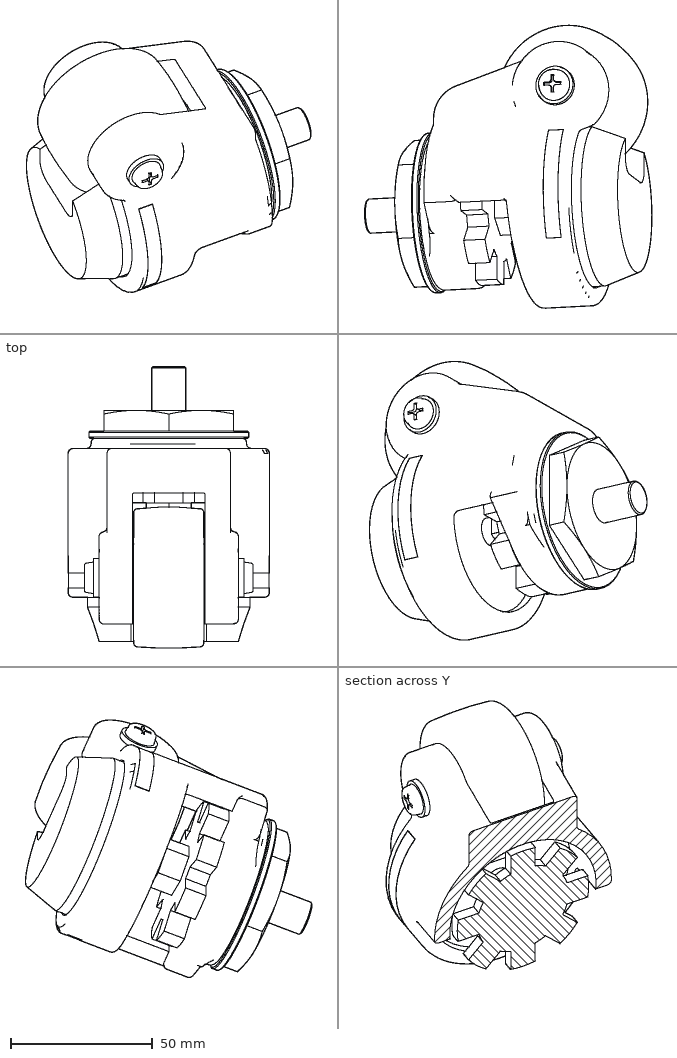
import cadquery as cq
import math

total_height = 98.9
total_length = 99.4

drum_radius = 71.1 / 2
drum_front = -6.9
drum_rear = 45.6
drum_edge_round = 1.8
bore_radius = 29.2

window_top = -2.6
window_rear = 34.2
window_front_top = 15.7
window_front_bottom = 13.6
window_corner_round = 2.4
window_edge_round = 1.8

web_radius = 27.4
web_edge_round = 1.8
neck_rear = 49.2
neck_edge_round = 1.5
neck_flare = 1.6

panel_front = -3.6
panel_rear = 1.8
panel_bottom = -17.4
panel_top = 22.0
panel_depth = 0.1

fork_half_width = 21.8
fork_slope = 18.0
fork_slope_start = (37.4, 41.2)
fork_corner_round = 11.9
fork_edge_round = 1.8
root_round = 1.5
crest_angle = 47.5
boss_radius = 16.3
boss_half_width = 24.6
boss_edge_round = 1.8
slot_width = 25.5
slot_rear = 29.9
slot_corner_round = 0.6

wheel_radius = 25.0
wheel_rim_radius = 24.3
wheel_width = 24.8
wheel_edge_round = 1.4
axle_height = total_height - drum_radius - wheel_radius
axle_radius = 5.0

screw_washer_radius = 6.8
screw_washer_face = 26.5
screw_head_face = 29.7
screw_head_radius = 5.6
screw_head_taper = 9.0
screw_head_round = 0.8
cross_length = 6.2
cross_width = 1.0
cross_corner_round = 0.9
cross_depth = 1.5

washer_radius = 28.2
washer_thickness = 2.5
washer_chamfer = 0.4
nut_across_flats = 45.7
nut_thickness = 7.4
nut_chamfer_angle = 20.0
stud_radius = 6.1
stud_chamfer = 0.5
stud_tip = total_length - wheel_radius

pad_radius = 28.7
pad_front = -22.5
pad_cone_start = -10.2
pad_front_radius = 24.6
pad_rear = 11.9
notch_width = 26.7
notch_floor = 8.8
notch_corner_round = 5.5
stem_radius = 5.0
lock_nut_across_flats = 16.0
lock_nut_front = 18.0
gear_front = 26.4
gear_radius = 26.4
gear_root_radius = 18.4
gear_teeth = 8
tooth_width = 9.9


def disc(radius, front, rear):
    """Round bar along Y between two Y positions."""
    return cq.Workplane("XZ", origin=(0, front, 0)).circle(radius).extrude(front - rear)


def hexagon(across_flats, front, rear):
    """Hexagonal bar along Y with corners at the top and bottom."""
    corner_diameter = across_flats / math.cos(math.pi / 6)
    plane = cq.Workplane("XZ", origin=(0, front, 0)).transformed(rotate=(0, 0, 90))
    return plane.polygon(6, corner_diameter).extrude(front - rear)


def across(half_width):
    """Plane facing +X at the left end of something centred on X = 0; its axes are Y and Z."""
    return cq.Workplane("YZ", origin=(-half_width, 0, 0))


def edges_near(body, points):
    """The edges of a body that pass closest to the given points."""
    edges = body.edges().vals()
    vertices = [cq.Vertex.makeVertex(*point) for point in points]
    return body.newObject([min(edges, key=vertex.distance) for vertex in vertices])


def both_sides(points):
    """Points on the +X side together with their mirror images."""
    return points + [(-x, y, z) for x, y, z in points]


def make_fork_slab():
    start_y, start_z = fork_slope_start
    slope = math.tan(math.radians(fork_slope))
    slab = (
        across(fork_half_width)
        .moveTo(0, 0)
        .lineTo(drum_rear, 0)
        .lineTo(drum_rear, start_z - slope * (drum_rear - start_y))
        .lineTo(0, start_z + slope * start_y)
        .close()
        .extrude(2 * fork_half_width)
    )
    return edges_near(slab, [(0, drum_rear, start_z)]).fillet(fork_corner_round)


def make_boss():
    boss = across(boss_half_width).center(0, axle_height).circle(boss_radius).extrude(2 * boss_half_width)
    return boss.edges().fillet(boss_edge_round)


def make_drum_with_fork():
    slab = make_fork_slab()
    drum = disc(drum_radius, drum_front, drum_rear)
    drum = drum.faces("<Y").edges().fillet(drum_edge_round)

    root_z = math.sqrt(drum_radius**2 - fork_half_width**2)
    corner_zone = (
        cq.Workplane("XY")
        .box(2 * fork_half_width, fork_corner_round, drum_radius, centered=(True, False, False))
        .translate((0, drum_rear - fork_corner_round, root_z))
    )
    body = drum.cut(corner_zone.cut(slab)).union(slab).union(make_boss())

    start_y, start_z = fork_slope_start
    slope = math.tan(math.radians(fork_slope))
    arc_start_z = start_z - fork_corner_round * math.cos(math.radians(fork_slope))
    slope_middle = start_y / 2 + boss_radius / 2
    outer_edges = both_sides(
        [
            (fork_half_width, slope_middle, start_z + slope * (start_y - slope_middle)),
            (fork_half_width, drum_rear, (root_z + arc_start_z) / 2),
        ]
    )
    outer_edges.append((0, drum_rear, -drum_radius))
    body = edges_near(body, outer_edges).fillet(fork_edge_round)

    crest_y = boss_radius * math.sin(math.radians(crest_angle))
    crest_z = axle_height + boss_radius * math.cos(math.radians(crest_angle))
    boss_root_z = math.sqrt(drum_radius**2 - boss_half_width**2)
    roots = both_sides(
        [
            (fork_half_width, boss_radius, axle_height),
            (fork_half_width, start_y, root_z),
            (boss_half_width, 0, boss_root_z),
        ]
    )
    roots.append((0, crest_y, crest_z))
    return edges_near(body, roots).fillet(root_round)


def cut_window(body):
    """Cut away the lower half of the drum behind its sloping front wall."""
    below = -drum_radius - 1
    slope = (window_front_top - window_front_bottom) / (window_top + drum_radius)
    window = (
        across(drum_radius + 1)
        .moveTo(window_front_top, window_top)
        .lineTo(drum_rear + 1, window_top)
        .lineTo(drum_rear + 1, below)
        .lineTo(window_front_top + slope * (below - window_top), below)
        .close()
        .extrude(2 * drum_radius + 2)
    )
    window = edges_near(window, [(0, window_front_top, window_top)]).fillet(window_corner_round)
    side_x = math.sqrt(drum_radius**2 - window_top**2)
    rim = both_sides([(side_x, window_rear, window_top)])
    return edges_near(body.cut(window), rim).fillet(window_edge_round)


def web_profile(front, rear):
    """Plate with the outline of the rear web between two Y positions."""
    tangent = web_radius / math.sqrt(2)
    flank = 2 * tangent
    corner_z = (math.sqrt(2 * drum_radius**2 - flank**2) - flank) / 2
    corner_x = corner_z + flank
    return (
        cq.Workplane("XZ", origin=(0, front, 0))
        .moveTo(corner_x, corner_z)
        .threePointArc((0, drum_radius), (-corner_x, corner_z))
        .lineTo(-tangent, -tangent)
        .threePointArc((0, -web_radius), (tangent, -tangent))
        .close()
        .extrude(front - rear)
    )


def make_web():
    """Lower half of the web; the drum itself forms the upper half."""
    web = web_profile(window_rear, drum_rear)
    web = web.faces("<Y or >Y").edges().fillet(web_edge_round)
    upper_half = cq.Workplane("XY").box(
        3 * drum_radius, total_length, 2 * drum_radius, centered=(True, True, False)
    )
    return web.cut(upper_half)


def make_neck():
    """Round neck behind the web, with a hollow flare that runs into the web's rear face."""
    neck = disc(web_radius, window_rear + web_edge_round, neck_rear)
    neck = neck.faces(">Y").edges().fillet(neck_edge_round)
    arc_offset = neck_flare * (1 - math.sqrt(0.5))
    flare_base = drum_rear - web_edge_round
    flare = (
        cq.Workplane("XY")
        .moveTo(0, flare_base)
        .lineTo(web_radius + neck_flare, flare_base)
        .lineTo(web_radius + neck_flare, drum_rear)
        .threePointArc((web_radius + arc_offset, drum_rear + arc_offset), (web_radius, drum_rear + neck_flare))
        .lineTo(0, drum_rear + neck_flare)
        .close()
        .revolve(360, (0, 0, 0), (0, 1, 0))
    )
    return neck.union(flare.intersect(web_profile(flare_base, neck_rear)))


def make_panels():
    """Thin curved layers that leave a shallow recess on each side of the drum."""
    layer = disc(drum_radius + 1, panel_front, panel_rear)
    layer = layer.cut(disc(drum_radius - panel_depth, panel_front, panel_rear))
    band = (
        cq.Workplane("XY", origin=(0, 0, panel_bottom))
        .box(4 * drum_radius, total_length, panel_top - panel_bottom, centered=(True, True, False))
    )
    return layer.intersect(band)


def make_slot():
    slot = (
        cq.Workplane("XY")
        .box(slot_width, slot_rear + total_length, total_height, centered=(True, False, False))
        .translate((0, -total_length, 0))
    )
    return slot.edges("|Z and >Y").fillet(slot_corner_round)


def make_housing():
    body = cut_window(make_drum_with_fork())
    body = body.union(make_web()).union(make_neck())
    bore = disc(bore_radius, -total_length, window_rear)
    return body.cut(make_panels()).cut(bore).cut(make_slot())


def make_wheel():
    half = wheel_width / 2
    wheel = (
        cq.Workplane("XY")
        .moveTo(-half, 0)
        .lineTo(-half, wheel_rim_radius)
        .threePointArc((0, wheel_radius), (half, wheel_rim_radius))
        .lineTo(half, 0)
        .close()
        .revolve(360, (0, 0, 0), (1, 0, 0))
    )
    wheel = wheel.edges().fillet(wheel_edge_round)
    return wheel.translate((0, 0, axle_height))


def cross_core(side):
    """Opposite corners of a box around the middle of a cross slot."""
    near = side * (screw_head_face - cross_depth - 1)
    far = side * (screw_head_face + 1)
    return (near, -cross_width, -cross_width), (far, cross_width, cross_width)


def make_axle():
    """Axle with a washer and a cross-slotted head at each end."""
    axle = across(boss_half_width).circle(axle_radius).extrude(2 * boss_half_width)
    washers = across(screw_washer_face).circle(screw_washer_radius).extrude(2 * screw_washer_face)
    gap = cq.Workplane("YZ").circle(screw_washer_radius + 1).extrude(boss_half_width, both=True)
    axle = axle.union(washers.cut(gap))
    head_length = screw_head_face - screw_washer_face
    for side in (1, -1):
        plane = cq.Workplane("YZ", origin=(side * screw_washer_face, 0, 0))
        head = plane.circle(screw_head_radius).extrude(side * head_length, taper=screw_head_taper)
        end = ">X" if side > 0 else "<X"
        head = head.faces(end).edges().fillet(screw_head_round)
        cross = (
            cq.Workplane("YZ", origin=(side * screw_head_face, 0, 0))
            .rect(cross_length, cross_width)
            .extrude(-side * cross_depth)
        )
        cross = cross.union(cross.rotate((0, 0, 0), (1, 0, 0), 90))
        inner_corners = cq.selectors.BoxSelector(*cross_core(side))
        cross = cross.edges("|X").edges(inner_corners).fillet(cross_corner_round)
        head = head.cut(cross)
        axle = axle.union(head)
    return axle.translate((0, 0, axle_height))


def make_mount():
    """Washer, hexagon nut and stud on the rear of the neck."""
    washer_rear = neck_rear + washer_thickness
    nut_rear = washer_rear + nut_thickness
    washer = disc(washer_radius, neck_rear, washer_rear).edges().chamfer(washer_chamfer)
    nut = hexagon(nut_across_flats, washer_rear, nut_rear)
    rise = math.tan(math.radians(nut_chamfer_angle))
    rim = nut_across_flats / 2
    cone_limit = (
        cq.Workplane("XY")
        .moveTo(0, washer_rear)
        .lineTo(2 * rim, washer_rear)
        .lineTo(2 * rim, nut_rear - rise * rim)
        .lineTo(rim, nut_rear)
        .lineTo(0, nut_rear)
        .close()
        .revolve(360, (0, 0, 0), (0, 1, 0))
    )
    stud = disc(stud_radius, nut_rear, stud_tip).faces(">Y").edges().chamfer(stud_chamfer)
    return washer.union(nut.intersect(cone_limit)).union(stud)


def make_caster():
    return make_housing().union(make_axle()).union(make_wheel()).union(make_mount())


def make_pad():
    pad = (
        cq.Workplane("XY")
        .moveTo(0, pad_front)
        .lineTo(pad_front_radius, pad_front)
        .lineTo(pad_radius, pad_cone_start)
        .lineTo(pad_radius, pad_rear)
        .lineTo(0, pad_rear)
        .close()
        .revolve(360, (0, 0, 0), (0, 1, 0))
    )
    notch = (
        cq.Workplane("XY", origin=(0, 0, notch_floor))
        .box(notch_width, total_length, pad_radius, centered=(True, True, False))
        .edges("|Y and <Z")
        .fillet(notch_corner_round)
    )
    return pad.cut(notch)


def make_gear():
    gear = disc(gear_root_radius, gear_front, window_rear)
    tooth = cq.Workplane("XY").box(
        tooth_width, window_rear - gear_front, gear_radius, centered=(True, False, False)
    )
    for index in range(gear_teeth):
        turned = tooth.translate((0, gear_front, 0)).rotate((0, 0, 0), (0, 1, 0), index * 360 / gear_teeth)
        gear = gear.union(turned)
    return gear.intersect(disc(gear_radius, gear_front, window_rear))


def make_foot():
    stem = disc(stem_radius, pad_rear, gear_front)
    lock_nut = hexagon(lock_nut_across_flats, lock_nut_front, gear_front)
    return make_pad().union(stem).union(lock_nut).union(make_gear())


caster = make_caster()
foot = make_foot()
result = cq.Compound.makeCompound([caster.val(), foot.val()])